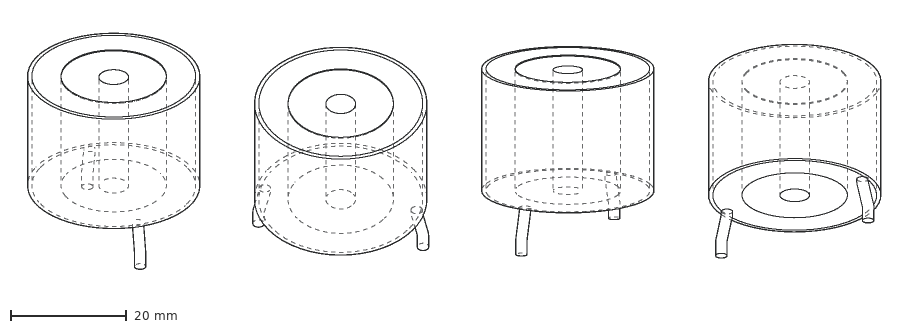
import cadquery as cq
import math

housing_diameter = 29.8
housing_height = 21.8
wall_thickness = 0.75
core_diameter = 18.2
core_recess = 0.2
bore_diameter = 5.12

pin_diameter = 2.0
overall_width = 31.05
pin_length = 8.17
pin_root_offset = 13.42
upper_bend_depth = 0.62
lower_bend_depth = 5.37
bend_radius = 2.0

cavity_diameter = housing_diameter - 2 * wall_thickness
core_height = housing_height - core_recess
pin_tip_offset = (overall_width - pin_diameter) / 2
splay_run = pin_tip_offset - pin_root_offset
splay_drop = lower_bend_depth - upper_bend_depth
splay_angle = math.atan2(splay_run, splay_drop)


def ring(outer_diameter, inner_diameter, height):
    """Upright ring standing on Z = 0."""
    return cq.Workplane("XY").circle(outer_diameter / 2).circle(inner_diameter / 2).extrude(height)


def make_pin(side):
    """Round pin that splays outwards; side is -1 for the -X pin and +1 for the +X pin."""
    tangent = bend_radius * math.tan(splay_angle / 2)
    corner_gap = bend_radius / math.cos(splay_angle / 2) - bend_radius
    along_x = math.sin(splay_angle)
    along_z = math.cos(splay_angle)
    mid_x = corner_gap * math.cos(splay_angle / 2)
    mid_z = corner_gap * math.sin(splay_angle / 2)

    def point(x, z):
        return (side * x, z)

    path = (
        cq.Workplane("XZ")
        .moveTo(*point(pin_root_offset, 0))
        .lineTo(*point(pin_root_offset, -upper_bend_depth + tangent))
        .threePointArc(
            point(pin_root_offset + mid_x, -upper_bend_depth + mid_z),
            point(pin_root_offset + tangent * along_x, -upper_bend_depth - tangent * along_z),
        )
        .lineTo(*point(pin_tip_offset - tangent * along_x, -lower_bend_depth + tangent * along_z))
        .threePointArc(
            point(pin_tip_offset - mid_x, -lower_bend_depth - mid_z),
            point(pin_tip_offset, -lower_bend_depth - tangent),
        )
        .lineTo(*point(pin_tip_offset, -pin_length))
    )
    return cq.Workplane("XY").center(side * pin_root_offset, 0).circle(pin_diameter / 2).sweep(path)


housing = ring(housing_diameter, cavity_diameter, housing_height)

filling = ring(cavity_diameter, core_diameter, housing_height)

core = ring(core_diameter, bore_diameter, core_height)

pins = [make_pin(side) for side in (-1, 1)]

result = cq.Compound.makeCompound(
    [housing.val(), filling.val(), core.val(), *[pin.val() for pin in pins]]
)